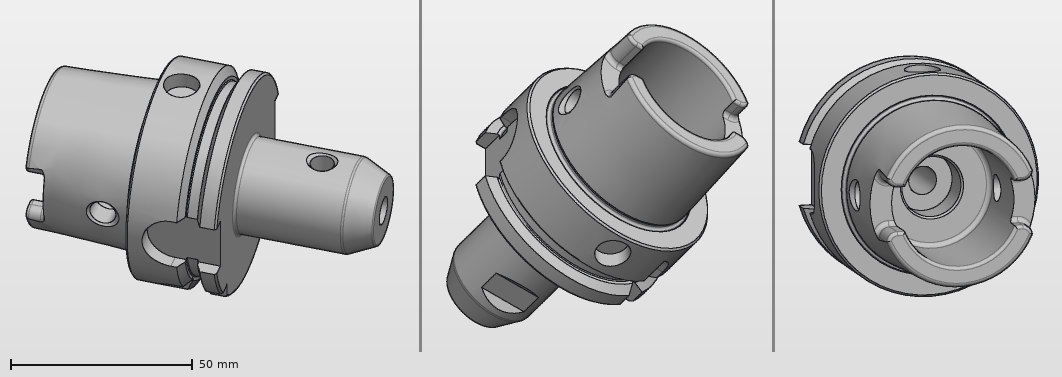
import cadquery as cq
import math

TAPER_MOUTH_RADIUS = 22.7
TAPER_BASE_RADIUS = 24.2
TAPER_LENGTH = 30.3
NECK_RADIUS = 24.0
NECK_RUNOUT = 0.6
NECK_FILLET = 0.8
RELIEF_RADIUS = 25.2
RELIEF_DEPTH = 0.2
NOSE_ROUND = 1.2
MOUTH_ROUND = 1.0

SOCKET_RADIUS = 17.0
SOCKET_DEPTH = 29.1
SOCKET_FILLET = 1.4
THREAD_DIAMETER = 16.9
THREAD_DEPTH = 9.7
THREAD_CHAMFER = 0.6
THROUGH_DIAMETER = 8.0

FLANGE_START = 32.0
FLANGE_END = 57.9
FLANGE_RADIUS = 63.0 / 2
FLANGE_EDGE_BREAK = 0.6
GROOVE_START = 48.1
GROOVE_END = 51.6
GROOVE_RADIUS = 27.45
GROOVE_FLARE_RADIUS = 28.7
GROOVE_FLARE_ANGLE = 30.0
GROOVE_FILLET = 0.3

TOTAL_LENGTH = 97.0
SHANK_RADIUS = 27.5 / 2
SHANK_FILLET = 0.9
CONE_START = 89.0
CONE_END_RADIUS = 20.0 / 2
CONE_BLEND = 1.6
TIP_ROUND = 0.6

NOTCH_HALF_WIDTH = 6.3
NOTCH_CORNER_RADIUS = 2.9
NOTCH_SIDE_OFFSET = 20.9
NOTCH_FLOOR_FILLET = 1.5
NOTCH_DEPTH_FRONT = 5.8
NOTCH_DEPTH_BACK = 9.8

SLOT_START = 36.9
SLOT_FLOOR_OFFSET = 26.5
SLOT_WIDTH_FRONT = 16.0
SLOT_WIDTH_BACK = 18.0
MARK_SLOT_TOP = -19.9
MARK_SLOT_FLOOR_OFFSET = 19.9
MARK_SLOT_WIDTH = 14.0

CLAMP_HOLE_X = 23.0
CLAMP_HOLE_DIAMETER = 7.5
CLAMP_SINK_DIAMETER = 9.5
CHIP_HOLE_X = 38.9
CHIP_HOLE_DIAMETER = 10.0
CHIP_HOLE_DEPTH = 4.9
LOWER_HOLE_ANGLE = 174.0
SCREW_HOLE_X = 79.3
SCREW_HOLE_DIAMETER = 6.7
SCREW_SINK_DIAMETER = 8.7
SINK_OVERRUN = 1.0

FLAT_CENTER_X = 81.2
FLAT_LENGTH = 6.6
FLAT_OFFSET = 11.6


def round_circle(body, x, radius, size):
    """Fillet the full circular edge that lies at station x with the given radius."""
    tolerance = 0.01
    edges = [
        edge
        for edge in body.edges("%CIRCLE").vals()
        if abs(edge.Center().x - x) < tolerance and abs(edge.radius() - radius) < tolerance
    ]
    return body.newObject(edges).fillet(size)


def turned_body():
    """Solid of revolution: taper, neck, grooved flange and coned shank."""
    flare_run = (FLANGE_RADIUS - GROOVE_FLARE_RADIUS) * math.tan(math.radians(GROOVE_FLARE_ANGLE))
    relief_floor = FLANGE_START + RELIEF_DEPTH
    outline = [
        (0, 0),
        (0, TAPER_MOUTH_RADIUS),
        (TAPER_LENGTH, TAPER_BASE_RADIUS),
        (TAPER_LENGTH + NECK_RUNOUT, NECK_RADIUS),
        (relief_floor, NECK_RADIUS),
        (relief_floor, RELIEF_RADIUS - RELIEF_DEPTH),
        (FLANGE_START, RELIEF_RADIUS),
        (FLANGE_START, FLANGE_RADIUS - FLANGE_EDGE_BREAK),
        (FLANGE_START + FLANGE_EDGE_BREAK, FLANGE_RADIUS),
        (GROOVE_START - flare_run, FLANGE_RADIUS),
        (GROOVE_START, GROOVE_FLARE_RADIUS),
        (GROOVE_START, GROOVE_RADIUS),
        (GROOVE_END, GROOVE_RADIUS),
        (GROOVE_END, GROOVE_FLARE_RADIUS),
        (GROOVE_END + flare_run, FLANGE_RADIUS),
        (FLANGE_END - FLANGE_EDGE_BREAK, FLANGE_RADIUS),
        (FLANGE_END, FLANGE_RADIUS - FLANGE_EDGE_BREAK),
        (FLANGE_END, SHANK_RADIUS),
        (CONE_START, SHANK_RADIUS),
        (TOTAL_LENGTH, CONE_END_RADIUS),
        (TOTAL_LENGTH, 0),
    ]
    body = cq.Workplane("XY").polyline(outline).close().revolve(360, (0, 0), (1, 0))
    body = round_circle(body, 0, TAPER_MOUTH_RADIUS, NOSE_ROUND)
    body = round_circle(body, relief_floor, NECK_RADIUS, NECK_FILLET)
    body = round_circle(body, GROOVE_START, GROOVE_RADIUS, GROOVE_FILLET)
    body = round_circle(body, GROOVE_END, GROOVE_RADIUS, GROOVE_FILLET)
    body = round_circle(body, FLANGE_END, SHANK_RADIUS, SHANK_FILLET)
    body = round_circle(body, CONE_START, SHANK_RADIUS, CONE_BLEND)
    return round_circle(body, TOTAL_LENGTH, CONE_END_RADIUS, TIP_ROUND)


def axial_bores():
    """Socket, threaded hole with a chamfered mouth, and the bore right through."""
    socket = cq.Workplane("YZ").circle(SOCKET_RADIUS).extrude(SOCKET_DEPTH)
    socket = socket.faces(">X").edges().fillet(SOCKET_FILLET)
    thread_radius = THREAD_DIAMETER / 2
    thread_end = SOCKET_DEPTH + THREAD_DEPTH
    stepped_bore = [
        (0, 0),
        (0, thread_radius + THREAD_CHAMFER),
        (SOCKET_DEPTH, thread_radius + THREAD_CHAMFER),
        (SOCKET_DEPTH + THREAD_CHAMFER, thread_radius),
        (thread_end, thread_radius),
        (thread_end, THROUGH_DIAMETER / 2),
        (TOTAL_LENGTH, THROUGH_DIAMETER / 2),
        (TOTAL_LENGTH, 0),
    ]
    bore = cq.Workplane("XY").polyline(stepped_bore).close().revolve(360, (0, 0), (1, 0))
    return socket.union(bore)


def drive_notch(depth, side):
    """Cutter for one mouth notch that widens outside the corner arcs; side is -1 or 1 along Y."""
    arc_start = NOTCH_SIDE_OFFSET - NOTCH_CORNER_RADIUS
    arc_top = NOTCH_HALF_WIDTH + NOTCH_CORNER_RADIUS
    arc_inset = NOTCH_CORNER_RADIUS * math.sqrt(0.5)
    arc_middle = (arc_start + arc_inset, arc_top - arc_inset)
    outer = TAPER_BASE_RADIUS + 2 * NOTCH_FLOOR_FILLET
    reach = arc_top + 2 * NOTCH_FLOOR_FILLET
    cutter = (
        cq.Workplane("YZ")
        .moveTo(0, -NOTCH_HALF_WIDTH)
        .lineTo(side * arc_start, -NOTCH_HALF_WIDTH)
        .threePointArc((side * arc_middle[0], -arc_middle[1]), (side * NOTCH_SIDE_OFFSET, -arc_top))
        .lineTo(side * NOTCH_SIDE_OFFSET, -reach)
        .lineTo(side * outer, -reach)
        .lineTo(side * outer, reach)
        .lineTo(side * NOTCH_SIDE_OFFSET, reach)
        .lineTo(side * NOTCH_SIDE_OFFSET, arc_top)
        .threePointArc((side * arc_middle[0], arc_middle[1]), (side * arc_start, NOTCH_HALF_WIDTH))
        .lineTo(0, NOTCH_HALF_WIDTH)
        .close()
        .extrude(depth)
    )
    cutter = cutter.faces(">X").edges().fillet(NOTCH_FLOOR_FILLET)

    plate = cq.Workplane("YZ").rect(4 * outer, 4 * reach).extrude(depth)
    around_notch = cq.selectors.BoxSelector((-1, -outer - 1, -reach - 1), (1, outer + 1, reach + 1))
    rounded_rim = plate.cut(cutter).faces("<X").edges(around_notch).fillet(MOUTH_ROUND)
    return plate.cut(rounded_rim)


def gripper_slot(width, center_z, floor_offset, side):
    """Cutter for a flange slot with a round inner end, open toward the shank."""
    radius = width / 2
    round_center = SLOT_START + radius
    depth = FLANGE_RADIUS - floor_offset
    length = FLANGE_END - round_center
    straight = cq.Workplane("XY").box(length, depth, width, centered=(False, False, True))
    rounded = cq.Workplane("XZ").circle(radius).extrude(-depth)
    cutter = straight.union(rounded)
    start_y = floor_offset if side > 0 else -FLANGE_RADIUS
    return cutter.translate((round_center, start_y, center_z))


def sunk_hole(x, surface_radius, diameter, sink_diameter):
    """Cutter from the axis out along +Y, with a 45 degree sink at the surface.

    The sink cone runs on past the surface so that it also clears the rising side of a taper.
    """
    radius = diameter / 2
    sink_start = surface_radius - (sink_diameter / 2 - radius)
    sink_end = surface_radius + SINK_OVERRUN
    return (
        cq.Workplane("XY", origin=(x, 0, 0))
        .lineTo(radius, 0)
        .lineTo(radius, sink_start)
        .lineTo(radius + sink_end - sink_start, sink_end)
        .lineTo(0, sink_end)
        .close()
        .revolve(360, (0, 0), (0, 1))
    )


def balancing_flat():
    """Cutter across the shank underside with 45 degree ends."""
    drop = SHANK_RADIUS - FLAT_OFFSET
    half = FLAT_LENGTH / 2
    return (
        cq.Workplane("XZ", origin=(FLAT_CENTER_X, 0, 0))
        .polyline([
            (-half, -FLAT_OFFSET),
            (half, -FLAT_OFFSET),
            (half + drop, -SHANK_RADIUS),
            (-half - drop, -SHANK_RADIUS),
        ])
        .close()
        .extrude(SHANK_RADIUS, both=True)
    )


def chip_hole():
    """Cutter for the flat-bottomed hole at the top of the flange."""
    floor = FLANGE_RADIUS - CHIP_HOLE_DEPTH
    hole = cq.Workplane("XY", origin=(CHIP_HOLE_X, 0, floor))
    return hole.circle(CHIP_HOLE_DIAMETER / 2).extrude(CHIP_HOLE_DEPTH)


taper_slope = (TAPER_BASE_RADIUS - TAPER_MOUTH_RADIUS) / TAPER_LENGTH
clamp_surface = TAPER_MOUTH_RADIUS + taper_slope * CLAMP_HOLE_X
clamp_hole = sunk_hole(CLAMP_HOLE_X, clamp_surface, CLAMP_HOLE_DIAMETER, CLAMP_SINK_DIAMETER)
result = turned_body().cut(clamp_hole.union(clamp_hole.mirror("XZ")))

result = result.cut(axial_bores())
result = round_circle(result, 0, SOCKET_RADIUS, MOUTH_ROUND)
result = result.cut(drive_notch(NOTCH_DEPTH_FRONT, -1)).cut(drive_notch(NOTCH_DEPTH_BACK, 1))

result = result.cut(gripper_slot(SLOT_WIDTH_FRONT, 0, SLOT_FLOOR_OFFSET, -1))
result = result.cut(gripper_slot(SLOT_WIDTH_BACK, 0, SLOT_FLOOR_OFFSET, 1))
mark_slot_center = MARK_SLOT_TOP - MARK_SLOT_WIDTH / 2
result = result.cut(gripper_slot(MARK_SLOT_WIDTH, mark_slot_center, MARK_SLOT_FLOOR_OFFSET, -1))

screw_hole = sunk_hole(SCREW_HOLE_X, SHANK_RADIUS, SCREW_HOLE_DIAMETER, SCREW_SINK_DIAMETER)
result = result.cut(screw_hole.rotate((0, 0, 0), (1, 0, 0), 90))

result = result.cut(chip_hole())
result = result.cut(chip_hole().rotate((0, 0, 0), (1, 0, 0), LOWER_HOLE_ANGLE))
result = result.cut(balancing_flat())